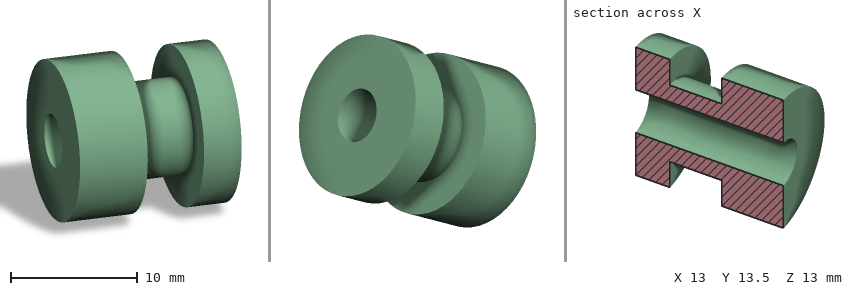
import cadquery as cq

total_length = 13.5
front_flange_length = 5.65
rear_flange_length = 3.15
flange_diameter = 13.0
neck_diameter = 7.8
bore_diameter = 4.3


def cylinder_along_y(diameter, start, end):
    """Solid cylinder on the Y axis from y = start to y = end."""
    workplane = cq.Workplane("XZ", origin=(0, start, 0))
    return workplane.circle(diameter / 2).extrude(start - end)


front_face = -total_length / 2
rear_face = total_length / 2

front_flange = cylinder_along_y(flange_diameter, front_face, front_face + front_flange_length)
rear_flange = cylinder_along_y(flange_diameter, rear_face - rear_flange_length, rear_face)
neck = cylinder_along_y(neck_diameter, front_face, rear_face)
bore = cylinder_along_y(bore_diameter, front_face, rear_face)

result = neck.union(front_flange).union(rear_flange).cut(bore)